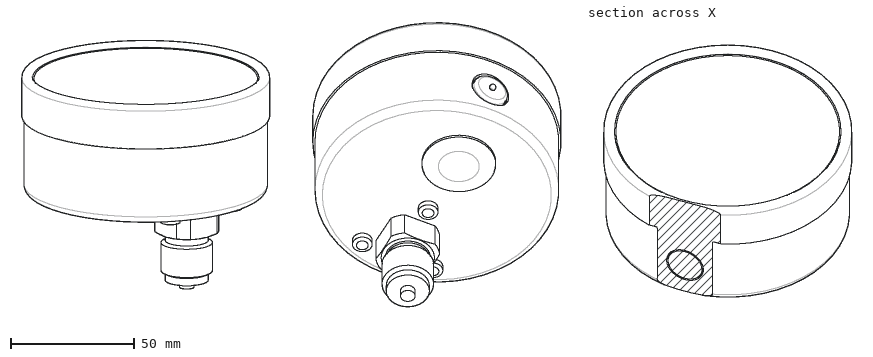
import cadquery as cq
import math

case_height = 50.0
case_radius = 99.0 / 2
case_back_round = 3.0
bezel_radius = 100.75 / 2
bezel_height = 18.2
rim_round = 2.2
rim_inner_radius = bezel_radius - 2 * rim_round
window_radius = 45.4
window_depth = 2.5
window_edge_drop = 0.2

disc_x = -20.0
disc_radius = 30.0 / 2
disc_edge_height = 1.1
disc_height = 2.4
disc_flat_radius = 8.3

overall_height = 84.69
connector_x = 26.5
wrench_flats = 22.0
wrench_corner_radius = 26.0 / 2
wrench_face_radius = 10.8
wrench_chamfer_height = 0.75
thread_radius = 20.96 / 2
neck_radius = 17.5 / 2
pin_radius = 6.0 / 2
pin_length = 3.0
spigot_length = 20.0
relief_length = 3.2
thread_end_length = 3.1
thread_lead_in = 0.9
neck_flare = 0.4
neck_flare_height = 0.6

screw_count = 3
screw_circle_radius = 18.5
screw_radius = 8.0 / 2
screw_height = 3.0
screw_side_height = 2.4
screw_flat_radius = 2.4

plug_z = 15.0
plug_radius = 15.0 / 2
plug_face_x = -50.3
plug_round = 1.4
opening_radius = 17.1 / 2
opening_depth = 1.6
plug_gap = 0.4
plug_gap_depth = 1.0
nipple_radius = 2.5 / 2
overall_width = 102.57
nipple_tip_x = bezel_radius - overall_width


def revolve_about_z(profile):
    """Turn a closed (radius, z) profile around the Z axis."""
    return profile.close().revolve(360, (0, 0, 0), (0, 1, 0))


def make_case():
    back_mid = case_back_round * (1 - math.sqrt(0.5))
    window_z = case_height - window_depth
    rim_round_z = case_height - rim_round
    bezel_bottom = case_height - bezel_height
    profile = (
        cq.Workplane("XZ")
        .moveTo(0, 0)
        .lineTo(case_radius - case_back_round, 0)
        .threePointArc((case_radius - back_mid, back_mid), (case_radius, case_back_round))
        .lineTo(case_radius, bezel_bottom)
        .lineTo(bezel_radius, bezel_bottom)
        .lineTo(bezel_radius, rim_round_z)
        .threePointArc(
            (bezel_radius - rim_round, case_height),
            (rim_inner_radius, rim_round_z),
        )
        .lineTo(rim_inner_radius, window_z + window_edge_drop)
        .lineTo(window_radius, window_z)
        .lineTo(0, window_z)
    )
    return revolve_about_z(profile)


def make_blow_out_disc():
    profile = (
        cq.Workplane("XZ")
        .lineTo(disc_radius, 0)
        .lineTo(disc_radius, -disc_edge_height)
        .lineTo(disc_flat_radius, -disc_height)
        .lineTo(0, -disc_height)
    )
    return revolve_about_z(profile).translate((disc_x, 0, 0))


def make_connector():
    pin_end = case_height - overall_height
    spigot_end = pin_end + pin_length
    wrench_end = spigot_end + spigot_length
    thread_top = wrench_end - relief_length
    thread_bottom = spigot_end + thread_end_length
    envelope = (
        cq.Workplane("XZ")
        .lineTo(wrench_corner_radius, 0)
        .lineTo(wrench_corner_radius, wrench_end + wrench_chamfer_height)
        .lineTo(wrench_face_radius, wrench_end)
        .lineTo(0, wrench_end)
    )
    square = cq.Workplane("XY").rect(wrench_flats, wrench_flats).extrude(wrench_end)
    wrench_block = revolve_about_z(envelope).intersect(square)
    spigot = (
        cq.Workplane("XZ")
        .moveTo(0, wrench_end)
        .lineTo(neck_radius + neck_flare, wrench_end)
        .lineTo(neck_radius, wrench_end - neck_flare_height)
        .lineTo(neck_radius, thread_top)
        .lineTo(thread_radius, thread_top - thread_lead_in)
        .lineTo(thread_radius, thread_bottom + thread_lead_in)
        .lineTo(neck_radius, thread_bottom)
        .lineTo(neck_radius, spigot_end)
        .lineTo(pin_radius, spigot_end)
        .lineTo(pin_radius, pin_end)
        .lineTo(0, pin_end)
    )
    return wrench_block.union(revolve_about_z(spigot)).translate((connector_x, 0, 0))


def make_screw(angle):
    x = connector_x + screw_circle_radius * math.cos(math.radians(angle))
    y = screw_circle_radius * math.sin(math.radians(angle))
    profile = (
        cq.Workplane("XZ")
        .lineTo(screw_radius, 0)
        .lineTo(screw_radius, -screw_side_height)
        .lineTo(screw_flat_radius, -screw_height)
        .lineTo(0, -screw_height)
    )
    return revolve_about_z(profile).translate((x, y, 0))


def revolve_about_plug_axis(profile):
    """Turn a closed (x, radius) profile around the X axis and lift it to the plug."""
    return profile.close().revolve(360, (0, 0, 0), (1, 0, 0)).translate((0, 0, plug_z))


def make_plug_opening():
    overshoot = 2.0
    gap_radius = plug_radius + plug_gap
    taper = (opening_radius - gap_radius) / opening_depth
    outer_x = -case_radius - overshoot
    taper_x = -case_radius + opening_depth
    floor_x = taper_x + plug_gap_depth
    profile = (
        cq.Workplane("XZ")
        .moveTo(outer_x, 0)
        .lineTo(outer_x, opening_radius + taper * overshoot)
        .lineTo(taper_x, gap_radius)
        .lineTo(floor_x, gap_radius)
        .lineTo(floor_x, 0)
    )
    return revolve_about_plug_axis(profile)


def make_plug():
    root_x = -case_radius + opening_depth + plug_gap_depth
    round_mid = plug_round * (1 - math.sqrt(0.5))
    nipple_center_x = nipple_tip_x + nipple_radius
    nipple_mid = nipple_radius * math.sqrt(0.5)
    profile = (
        cq.Workplane("XZ")
        .moveTo(root_x, 0)
        .lineTo(root_x, plug_radius)
        .lineTo(plug_face_x + plug_round, plug_radius)
        .threePointArc(
            (plug_face_x + round_mid, plug_radius - round_mid),
            (plug_face_x, plug_radius - plug_round),
        )
        .lineTo(plug_face_x, nipple_radius)
        .lineTo(nipple_center_x, nipple_radius)
        .threePointArc((nipple_center_x - nipple_mid, nipple_mid), (nipple_tip_x, 0))
    )
    return revolve_about_plug_axis(profile)


result = make_case().cut(make_plug_opening()).union(make_plug())
result = result.union(make_blow_out_disc()).union(make_connector())
for index in range(screw_count):
    result = result.union(make_screw(180 + index * 360 / screw_count))